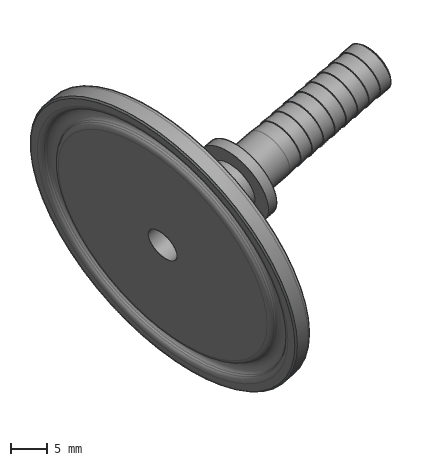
import cadquery as cq
import math

rim_radius = 25.25
total_length = 42.0
bore_radius = 2.75
stem_radius = 3.95

rim_chamfer = 0.25
flange_thickness = 6.3
back_flat_radius = 15.9
cone_angle = math.radians(20)
rim_back_y = flange_thickness - (rim_radius - back_flat_radius) * math.tan(cone_angle)
rim_fillet = 0.7
stem_fillet = 0.9

groove_radius = 21.7
groove_depth = 1.6
groove_floor_radius = 1.1
groove_lip_radius = 0.85
flank_angle = math.radians(20)

collar_radius = 6.5
collar_start = 14.4
collar_thickness = 1.65

barb_count = 8
barb_start = 21.4
barb_end = 39.7
barb_pitch = (barb_end - barb_start) / barb_count
barb_step = 0.15
tip_chamfer = 0.25


def revolve_about_y(profile):
    """Turn a closed (radius, Y) profile through a full circle about the Y axis."""
    return profile.close().revolve(360, (0, 0, 0), (0, 1, 0))


def make_flange():
    """Disc with a chamfered front rim and a conical back rounded into the rim."""
    rim_turn = math.pi / 2 - cone_angle
    tangent_length = rim_fillet * math.tan(rim_turn / 2)
    arc_centre = (rim_radius - rim_fillet, rim_back_y - tangent_length)

    def arc_point(angle):
        return (
            arc_centre[0] + rim_fillet * math.cos(angle),
            arc_centre[1] + rim_fillet * math.sin(angle),
        )

    profile = (
        cq.Workplane("XY")
        .moveTo(0, 0)
        .lineTo(rim_radius - rim_chamfer, 0)
        .lineTo(rim_radius, rim_chamfer)
        .lineTo(*arc_point(0))
        .threePointArc(arc_point(rim_turn / 2), arc_point(rim_turn))
        .lineTo(back_flat_radius, flange_thickness)
        .lineTo(0, flange_thickness)
    )
    return revolve_about_y(profile)


def make_stem():
    """Stem flared into the flange back, with a row of barbs and a chamfered tip."""
    flare_radius = stem_radius + stem_fillet
    flare_top = flange_thickness + stem_fillet
    flare_offset = stem_fillet * (1 - math.sqrt(0.5))
    profile = (
        cq.Workplane("XY")
        .moveTo(0, flange_thickness)
        .lineTo(flare_radius, flange_thickness)
        .threePointArc(
            (stem_radius + flare_offset, flange_thickness + flare_offset),
            (stem_radius, flare_top),
        )
        .lineTo(stem_radius, barb_start)
    )
    for index in range(barb_count):
        step_y = barb_start + (index + 1) * barb_pitch
        profile = profile.lineTo(stem_radius - barb_step, step_y).lineTo(stem_radius, step_y)
    profile = (
        profile.lineTo(stem_radius, total_length - tip_chamfer)
        .lineTo(stem_radius - tip_chamfer, total_length)
        .lineTo(0, total_length)
    )
    return revolve_about_y(profile)


def make_collar():
    """Plain ring around the stem."""
    profile = (
        cq.Workplane("XY")
        .moveTo(0, collar_start)
        .lineTo(collar_radius, collar_start)
        .lineTo(collar_radius, collar_start + collar_thickness)
        .lineTo(0, collar_start + collar_thickness)
    )
    return revolve_about_y(profile)


def make_groove():
    """Ring cutter: round floor, sloped flanks and rounded lips."""
    floor_x = groove_floor_radius * math.cos(flank_angle)
    floor_y = groove_depth - groove_floor_radius * (1 - math.sin(flank_angle))
    lip_y = groove_lip_radius * (1 - math.sin(flank_angle))
    lip_x = floor_x + (floor_y - lip_y) * math.tan(flank_angle)
    mouth_x = lip_x + groove_lip_radius * math.cos(flank_angle)

    middle_angle = (flank_angle + math.pi / 2) / 2
    middle_x = mouth_x - groove_lip_radius * math.cos(middle_angle)
    middle_y = groove_lip_radius * (1 - math.sin(middle_angle))

    profile = (
        cq.Workplane("XY")
        .moveTo(groove_radius - mouth_x, 0)
        .threePointArc((groove_radius - middle_x, middle_y), (groove_radius - lip_x, lip_y))
        .lineTo(groove_radius - floor_x, floor_y)
        .threePointArc((groove_radius, groove_depth), (groove_radius + floor_x, floor_y))
        .lineTo(groove_radius + lip_x, lip_y)
        .threePointArc((groove_radius + middle_x, middle_y), (groove_radius + mouth_x, 0))
    )
    return revolve_about_y(profile)


def make_bore():
    """Through hole along the whole part."""
    return cq.Workplane("XZ").circle(bore_radius).extrude(-total_length)


result = make_flange().union(make_stem()).union(make_collar()).cut(make_groove()).cut(make_bore())